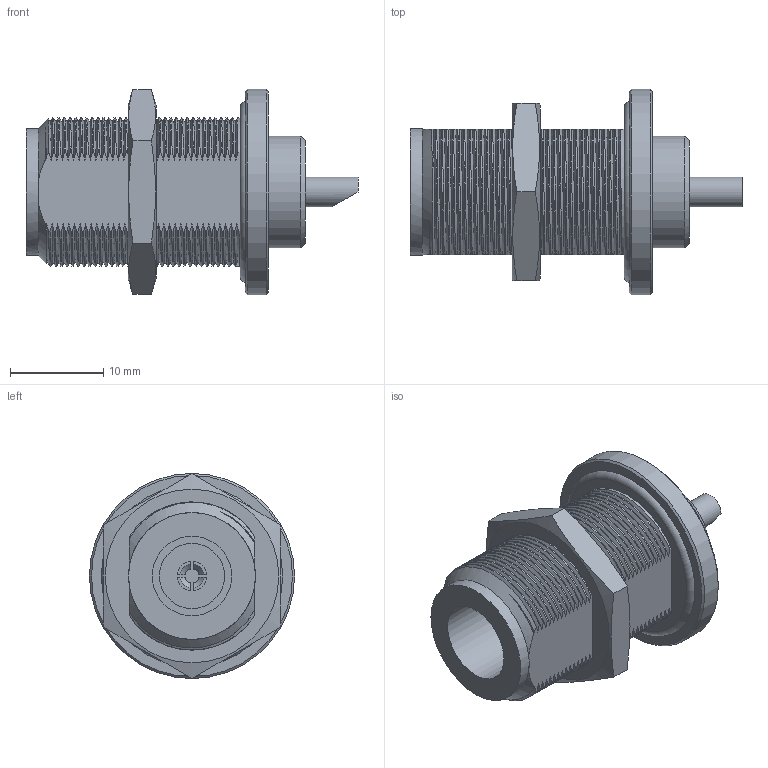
import cadquery as cq
import math


LENGTH = 35.6
COLLAR_END = 1.3
NUT_START = 10.95
NUT_WIDTH = 3.0
FLANGE_START = 23.5
FLANGE_WIDTH = 2.5
FLANGE_END = FLANGE_START + FLANGE_WIDTH
BOSS_LENGTH = 3.95
BOSS_END = FLANGE_END + BOSS_LENGTH

COLLAR_RADIUS = 6.8
FLAT_HALF_WIDTH = 6.72
FLANGE_RADIUS = 11.0
FLANGE_CHAMFER = 0.22
BOSS_RADIUS = 6.0
BOSS_CHAMFER_LENGTH = 0.55
BOSS_CHAMFER_DEPTH = 0.45
TAIL_RADIUS = 1.6

THREAD_RADIUS = 7.94
THREAD_DEPTH = 0.4
THREAD_PITCH = 0.6
THREAD_FLANK_ANGLE = 30.0
THREAD_END = 22.7
THREAD_TURNS = 34.5
THREAD_START_ANGLE = 180.0
CUTTER_OVERSHOOT = 0.05
LEAD_IN_LENGTH = THREAD_RADIUS - COLLAR_RADIUS

NUT_ACROSS_FLATS = 19.0
NUT_CORNER_RADIUS = NUT_ACROSS_FLATS / (2 * math.cos(math.pi / 6))
NUT_FACE_RADIUS = 9.3
NUT_CHAMFER_ANGLE = 17.0

LAND_START = 22.95
LAND_RIM_RADIUS = 0.75
LAND_FACE_RADIUS = 9.0

SOCKET_RADIUS = 4.27
SOCKET_DEPTH = 9.0
INNER_BORE_RADIUS = 3.5
INNER_BORE_END = 11.0
CONTACT_RADIUS = TAIL_RADIUS
CONTACT_TIP = 5.0
CONTACT_BORE_RADIUS = 0.75
CONTACT_MOUTH_RADIUS = 1.3
CONTACT_SLOT_WIDTH = 0.3

TAIL_CUT_LENGTH = 2.85


def cylinder(start, end, radius):
    """Cylinder on the X axis between two positions."""
    return cq.Workplane("YZ", origin=(start, 0, 0)).circle(radius).extrude(end - start)


def make_thread_cutter():
    """Triangular groove swept along a helix that ends at THREAD_END."""
    length = THREAD_TURNS * THREAD_PITCH
    root_radius = THREAD_RADIUS - THREAD_DEPTH
    outer_radius = THREAD_RADIUS + CUTTER_OVERSHOOT
    half_width = (outer_radius - root_radius) * math.tan(math.radians(THREAD_FLANK_ANGLE))
    helix = cq.Workplane(obj=cq.Wire.makeHelix(THREAD_PITCH, length, THREAD_RADIUS))
    groove = (
        cq.Workplane("XZ")
        .moveTo(root_radius, 0)
        .lineTo(outer_radius, half_width)
        .lineTo(outer_radius, -half_width)
        .close()
        .sweep(helix, isFrenet=True)
    )
    return (
        groove.rotate((0, 0, 0), (0, 1, 0), 90)
        .rotate((0, 0, 0), (1, 0, 0), THREAD_START_ANGLE)
        .translate((THREAD_END - length, 0, 0))
    )


def make_threaded_barrel():
    """Threaded barrel with a conical lead-in and two flats facing +Y and -Y."""
    barrel = (
        cq.Workplane("XY")
        .moveTo(COLLAR_END, 0)
        .lineTo(COLLAR_END, COLLAR_RADIUS)
        .lineTo(COLLAR_END + LEAD_IN_LENGTH, THREAD_RADIUS)
        .lineTo(FLANGE_START, THREAD_RADIUS)
        .lineTo(FLANGE_START, 0)
        .close()
        .revolve(360, (0, 0, 0), (1, 0, 0))
    )
    barrel = barrel.cut(make_thread_cutter(), clean=False)
    for side in (1, -1):
        flat_cut = cq.Workplane("XY").box(2 * LENGTH, 2 * THREAD_RADIUS, 4 * THREAD_RADIUS)
        flat_cut = flat_cut.translate((0, side * (FLAT_HALF_WIDTH + THREAD_RADIUS), 0))
        barrel = barrel.cut(flat_cut, clean=False)
    return barrel


def make_nut():
    """Hexagon nut with both faces chamfered to a circle."""
    chamfer_depth = NUT_CORNER_RADIUS - NUT_FACE_RADIUS
    chamfer_length = chamfer_depth * math.tan(math.radians(NUT_CHAMFER_ANGLE))
    nut_end = NUT_START + NUT_WIDTH
    envelope = (
        cq.Workplane("XY")
        .moveTo(NUT_START, 0)
        .lineTo(NUT_START, NUT_FACE_RADIUS)
        .lineTo(NUT_START + chamfer_length, NUT_CORNER_RADIUS)
        .lineTo(nut_end - chamfer_length, NUT_CORNER_RADIUS)
        .lineTo(nut_end, NUT_FACE_RADIUS)
        .lineTo(nut_end, 0)
        .close()
        .revolve(360, (0, 0, 0), (1, 0, 0))
    )
    hexagon = (
        cq.Workplane("YZ", origin=(NUT_START, 0, 0))
        .polygon(6, 2 * NUT_CORNER_RADIUS)
        .extrude(NUT_WIDTH)
        .rotate((0, 0, 0), (1, 0, 0), 90)
    )
    return hexagon.intersect(envelope)


def make_flange():
    """Flange disc with both rims chamfered."""
    return cylinder(FLANGE_START, FLANGE_END, FLANGE_RADIUS).edges().chamfer(FLANGE_CHAMFER)


def make_land():
    """Raised land whose rim is rounded down to the flange face."""
    rim_center = LAND_START + LAND_RIM_RADIUS
    foot_angle = math.acos((rim_center - FLANGE_START) / LAND_RIM_RADIUS)

    def rim_point(angle):
        return (
            rim_center - LAND_RIM_RADIUS * math.cos(angle),
            LAND_FACE_RADIUS + LAND_RIM_RADIUS * math.sin(angle),
        )

    return (
        cq.Workplane("XY")
        .moveTo(LAND_START, 0)
        .lineTo(LAND_START, LAND_FACE_RADIUS)
        .threePointArc(rim_point(foot_angle / 2), rim_point(foot_angle))
        .lineTo(FLANGE_START, 0)
        .close()
        .revolve(360, (0, 0, 0), (1, 0, 0))
    )


def make_boss():
    """Rear boss with a chamfered end."""
    return (
        cylinder(FLANGE_END, BOSS_END, BOSS_RADIUS)
        .faces(">X")
        .chamfer(BOSS_CHAMFER_LENGTH, BOSS_CHAMFER_DEPTH)
    )


def make_tail():
    """Solder tail with a slanted cut from the underside up to the axis."""
    slanted_cut = (
        cq.Workplane("XZ")
        .moveTo(LENGTH - TAIL_CUT_LENGTH, -TAIL_RADIUS)
        .lineTo(LENGTH, 0)
        .lineTo(LENGTH, -TAIL_RADIUS)
        .close()
        .extrude(TAIL_RADIUS, both=True)
    )
    return cylinder(BOSS_END, LENGTH, TAIL_RADIUS).cut(slanted_cut)


def make_contact():
    """Center contact with a flared bore, split into four fingers by two crossing slots."""
    contact = cylinder(CONTACT_TIP, INNER_BORE_END, CONTACT_RADIUS)
    flare_end = CONTACT_TIP + CONTACT_MOUTH_RADIUS - CONTACT_BORE_RADIUS
    bore = (
        cq.Workplane("XY")
        .moveTo(CONTACT_TIP, 0)
        .lineTo(CONTACT_TIP, CONTACT_MOUTH_RADIUS)
        .lineTo(flare_end, CONTACT_BORE_RADIUS)
        .lineTo(INNER_BORE_END, CONTACT_BORE_RADIUS)
        .lineTo(INNER_BORE_END, 0)
        .close()
        .revolve(360, (0, 0, 0), (1, 0, 0))
    )
    contact = contact.cut(bore)
    for angle in (0, 90):
        slot = (
            cq.Workplane("YZ", origin=(CONTACT_TIP, 0, 0))
            .rect(2 * CONTACT_RADIUS, CONTACT_SLOT_WIDTH)
            .extrude(INNER_BORE_END - CONTACT_TIP)
            .rotate((0, 0, 0), (1, 0, 0), angle)
        )
        contact = contact.cut(slot)
    return contact


def make_socket():
    """Stepped bore opening at the mating face."""
    socket = cylinder(0, SOCKET_DEPTH, SOCKET_RADIUS)
    return socket.union(cylinder(0, INNER_BORE_END, INNER_BORE_RADIUS))


result = (
    make_threaded_barrel()
    .union(cylinder(0, COLLAR_END, COLLAR_RADIUS))
    .union(make_nut())
    .union(make_land())
    .union(make_flange())
    .union(make_boss())
    .union(make_tail())
    .cut(make_socket())
    .union(make_contact())
)